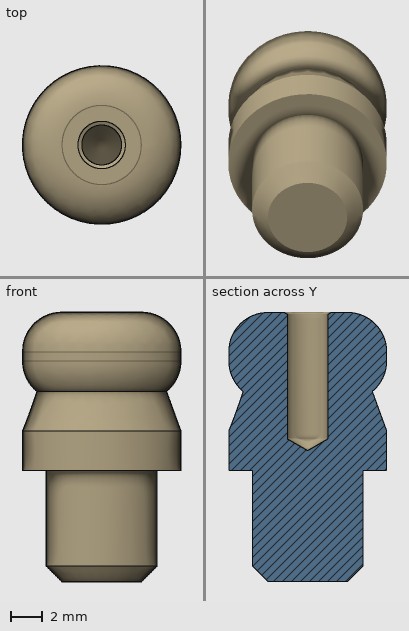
import cadquery as cq
import math

total_height = 17.0
head_radius = 5.0

shank_radius = 3.5
shank_length = 7.0
shank_chamfer = 1.0

collar_height = 2.5
cone_height = 2.5
cone_half_angle = math.radians(20)

head_rounding = head_radius / 2

hole_radius = 1.25
hole_depth = 7.99
mouth_radius = 1.5
mouth_half_angle = math.radians(60)
drill_half_angle = math.radians(60)

collar_top = shank_length + collar_height
neck_height = collar_top + cone_height
neck_radius = head_radius - cone_height * math.tan(cone_half_angle)

rounding_centre = head_radius - head_rounding
band_top = total_height - head_rounding

neck_angle = -math.acos((neck_radius - rounding_centre) / head_rounding)
band_bottom = neck_height - head_rounding * math.sin(neck_angle)


def rounding_point(centre_height, angle):
    """Point on a head rounding at an angle above the horizontal."""
    return (
        rounding_centre + head_rounding * math.cos(angle),
        centre_height + head_rounding * math.sin(angle),
    )


def revolve_about_z(profile):
    """Turn a closed half profile in the XZ plane into a full solid."""
    return profile.revolve(360, (0, 0, 0), (0, 1, 0))


def make_body():
    """Solid of revolution: shank, collar, cone and rounded head."""
    profile = (
        cq.Workplane("XZ")
        .moveTo(0, 0)
        .lineTo(shank_radius - shank_chamfer, 0)
        .lineTo(shank_radius, shank_chamfer)
        .lineTo(shank_radius, shank_length)
        .lineTo(head_radius, shank_length)
        .lineTo(head_radius, collar_top)
        .lineTo(neck_radius, neck_height)
        .threePointArc(
            rounding_point(band_bottom, neck_angle / 2),
            (head_radius, band_bottom),
        )
        .lineTo(head_radius, band_top)
        .threePointArc(
            rounding_point(band_top, math.pi / 4),
            (rounding_centre, total_height),
        )
        .lineTo(0, total_height)
        .close()
    )
    return revolve_about_z(profile)


def make_hole():
    """Drilled hole with a conical bottom and a countersunk mouth."""
    hole_bottom = total_height - hole_depth
    drill_tip = hole_bottom - hole_radius / math.tan(drill_half_angle)
    mouth_depth = (mouth_radius - hole_radius) / math.tan(mouth_half_angle)
    profile = (
        cq.Workplane("XZ")
        .moveTo(0, drill_tip)
        .lineTo(hole_radius, hole_bottom)
        .lineTo(hole_radius, total_height - mouth_depth)
        .lineTo(mouth_radius, total_height)
        .lineTo(0, total_height)
        .close()
    )
    return revolve_about_z(profile)


result = make_body().cut(make_hole())